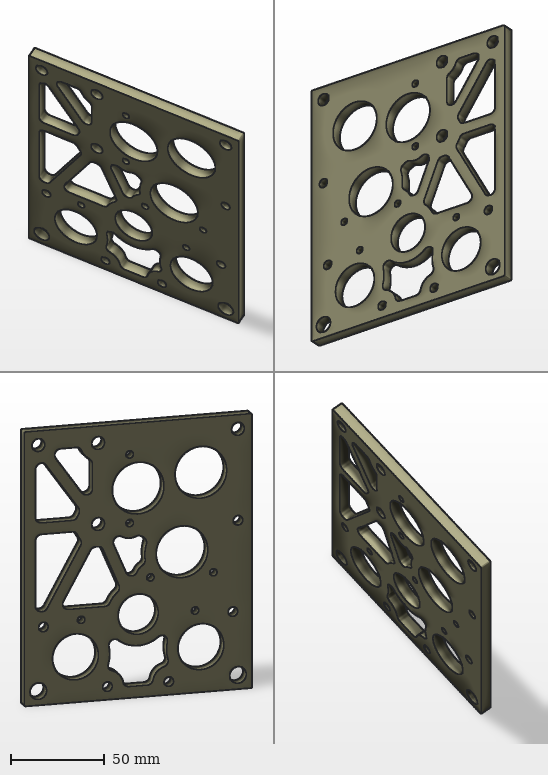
import cadquery as cq
import math

WIDTH = 127.0
HEIGHT = 152.4
THICKNESS = 6.4
CORNER_RADIUS = 1.0

WEB = 6.4
POCKET_RADIUS = 3.2
PIVOT_LAND_RADIUS = 12.6
UPPER_POCKET_TOP = 65.2
LOWER_POCKET_BOTTOM = -24.2
LOWER_POCKET_RIGHT = 6.1

LARGE_BORE = 28.7
LOWER_BORE = 25.5
CENTRE_BORE = 22.3
BOTTOM_CORNER_HOLE = 9.1
TOP_HOLE = 7.0
SIDE_HOLE = 5.2
SCREW_HOLE = 4.0


def mirrored_pair(x, z):
    """Left and right points at the same height."""
    return [(-x, z), (x, z)]


CORNER_INSET = 8.0
corner_x = WIDTH / 2 - CORNER_INSET
corner_z = HEIGHT / 2 - CORNER_INSET
top_corners = mirrored_pair(corner_x, corner_z)
bottom_corners = mirrored_pair(corner_x, -corner_z)

pivot = (-22.3, 21.8)
upper_pivot = (pivot[0], 66.8)

upper_bore = (0.0, 40.0)
right_upper_bore = (34.9, 45.9)
middle_bore = (24.4, 2.6)
centre_bore = (0.0, -30.0)
lower_bores = mirrored_pair(34.9, -50.9)

UPPER_SCREW_SPACING = 38.1
UPPER_SCREW_SHIFT = 4.7
MIDDLE_SCREW_SPACING = 35.0
MIDDLE_SCREW_SHIFT = 12.8
upper_screws = [
    (upper_bore[0] - UPPER_SCREW_SHIFT, upper_bore[1] + side * UPPER_SCREW_SPACING / 2)
    for side in (-1, 1)
]
middle_screws = [
    (middle_bore[0] + side * MIDDLE_SCREW_SPACING / 2, middle_bore[1] - MIDDLE_SCREW_SHIFT)
    for side in (-1, 1)
]

centre_screws = mirrored_pair(31.7, -30.6)
side_holes = mirrored_pair(52.7, -32.9)
bottom_holes = mirrored_pair(17.0, -68.9)
right_edge_hole = (corner_x, 17.5)


def back_face():
    """Plane of the plate's back face, local axes along X and Z, extruding towards the front."""
    return cq.Workplane("XZ", origin=(0, THICKNESS / 2, 0))


def discs(centres, radius):
    """Cylinders through the whole plate."""
    return back_face().pushPoints(centres).circle(radius).extrude(THICKNESS)


def land(centres, bore):
    """Material kept around holes of the given diameter."""
    return discs(centres, bore / 2 + WEB)


def rib(start, end):
    """Straight bar of web width joining two points."""
    run = end[0] - start[0]
    rise = end[1] - start[1]
    return (
        back_face()
        .center((start[0] + end[0]) / 2, (start[1] + end[1]) / 2)
        .transformed(rotate=(0, 0, math.degrees(math.atan2(rise, run))))
        .rect(math.hypot(run, rise), WEB)
        .extrude(THICKNESS)
    )


def pockets(left, right, bottom, top, kept):
    """Pockets left in a rectangle once the kept material is removed, rounded.

    Shrinking each outline and growing it back rounds the corners and closes narrow gaps.
    """
    window = (
        back_face()
        .center((left + right) / 2, (bottom + top) / 2)
        .rect(right - left, top - bottom)
        .extrude(THICKNESS)
    )
    for material in kept:
        window = window.cut(material)

    cutters = []
    for piece in window.solids().vals():
        outline = piece.faces("<Y").outerWire()
        try:
            shrunk_outlines = outline.offset2D(-POCKET_RADIUS)
        except ValueError:
            continue
        for shrunk in shrunk_outlines:
            rounded = shrunk.offset2D(POCKET_RADIUS)[0]
            cutters.append(cq.Solid.extrudeLinear(rounded, [], cq.Vector(0, THICKNESS, 0)))
    return cutters


plate = back_face().rect(WIDTH, HEIGHT).extrude(THICKNESS)
plate = plate.edges("|Y").fillet(CORNER_RADIUS)

for centres, diameter in [
    ([upper_bore, right_upper_bore, middle_bore], LARGE_BORE),
    (lower_bores, LOWER_BORE),
    ([centre_bore], CENTRE_BORE),
    (bottom_corners, BOTTOM_CORNER_HOLE),
    (top_corners + [pivot, upper_pivot], TOP_HOLE),
    (side_holes + bottom_holes + [right_edge_hole], SIDE_HOLE),
    (upper_screws + middle_screws + centre_screws, SCREW_HOLE),
]:
    plate = plate.cut(discs(centres, diameter / 2))

frame_left = -WIDTH / 2 + WEB
pivot_land = discs([pivot], PIVOT_LAND_RADIUS)

upper_pockets = pockets(
    frame_left, pivot[0] - WEB / 2, pivot[1] + WEB / 2, UPPER_POCKET_TOP,
    [pivot_land, land([upper_pivot], TOP_HOLE), rib(top_corners[0], pivot)],
)

lower_pockets = pockets(
    frame_left, LOWER_POCKET_RIGHT, LOWER_POCKET_BOTTOM, pivot[1] - WEB / 2,
    [
        pivot_land,
        land(upper_screws + middle_screws, SCREW_HOLE),
        land([middle_bore], LARGE_BORE),
        land([centre_bore], CENTRE_BORE),
        rib(pivot, side_holes[0]),
        rib(pivot, centre_bore),
        rib(upper_screws[0], middle_bore),
    ],
)

bottom_pocket = pockets(
    bottom_holes[0][0], bottom_holes[1][0], -HEIGHT / 2 + WEB, centre_bore[1],
    [
        land([centre_bore], CENTRE_BORE),
        land(lower_bores, LOWER_BORE),
        land(bottom_holes, SIDE_HOLE),
    ],
)

for cutter in upper_pockets + lower_pockets + bottom_pocket:
    plate = plate.cut(cq.Workplane(cutter))

result = plate.solids()